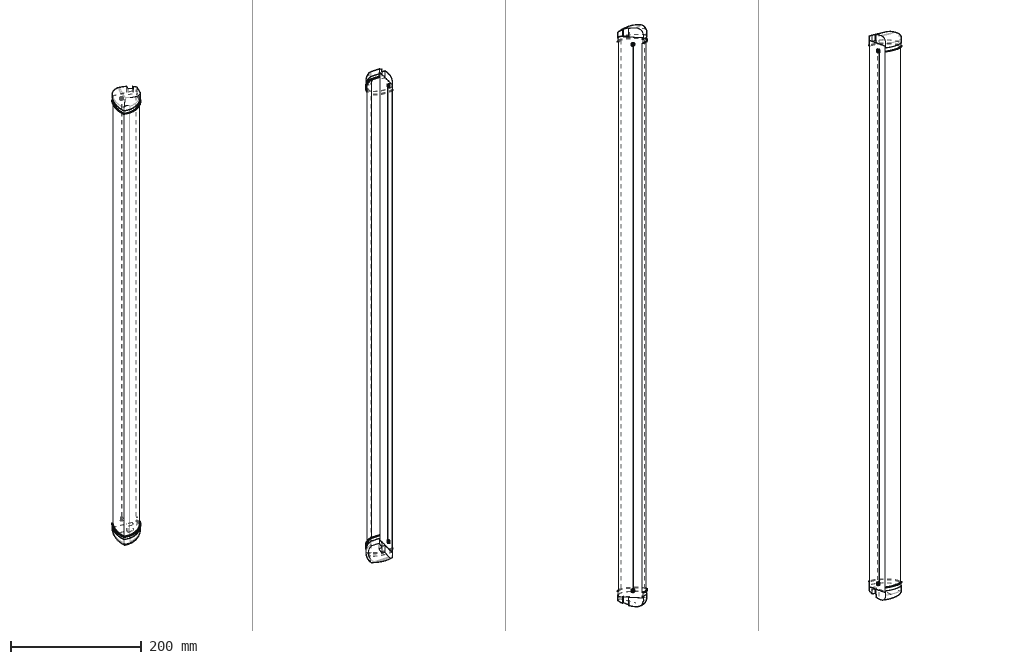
import cadquery as cq
import math

total_length = 901.79
total_width = 40.01
total_depth = 43.77
half_length = total_length / 2

flange_growth = 2.3
screw_head_height = 2.6
back_x = -total_width / 2 + screw_head_height
nose_x = total_width / 2 - flange_growth
side_y = total_depth / 2 - flange_growth
bow_center_x = -6.0
bow_sag = 1.5
nose_high_y = -4.0
front_end_x = -2.0
front_radius = 31.0

profile_end_depth = 14.4
band_top_depth = 17.1
flange_top_depth = 22.2
flange_height = 1.0
flange_bottom_depth = flange_top_depth + flange_height
cap_growth = 1.4
band_growth = 0.8
cap_back_step = 0.5

crown_end_y = -8.0
crown_drop = 8.0
crown_round = 10.5

notch_low_y = 4.0
notch_width = 9.5
notch_depth = 6.0

groove_y = -3.7
groove_width = 0.8
groove_depth = 0.6
groove_end_depth = 18.5
screw_depth = 25.3
screw_head_diameter = 6.0
screw_embed = 1.0
socket_diameter = 2.5
socket_depth = 1.5

margin = 10.0

bow_half_chord = bow_center_x - back_x
bow_radius = (bow_half_chord**2 + bow_sag**2) / (2 * bow_sag)
bow_center_y = bow_radius - side_y
nose_low_y = bow_center_y - math.sqrt(bow_radius**2 - (nose_x - bow_center_x) ** 2)

chord_x = front_end_x - nose_x
chord_y = side_y - nose_high_y
chord_length = math.hypot(chord_x, chord_y)
outward_x = chord_y / chord_length
outward_y = -chord_x / chord_length
center_setback = math.sqrt(front_radius**2 - (chord_length / 2) ** 2)
front_center_x = (nose_x + front_end_x) / 2 - center_setback * outward_x
front_center_y = (nose_high_y + side_y) / 2 - center_setback * outward_y
front_bend = (front_center_x + front_radius * outward_x, front_center_y + front_radius * outward_y)


def section_outline():
    """Closed outline of the profile in the XY plane."""
    return (
        cq.Workplane("XY")
        .moveTo(back_x, side_y)
        .lineTo(back_x, bow_sag - side_y)
        .threePointArc((bow_center_x, -side_y), (nose_x, nose_low_y))
        .lineTo(nose_x, nose_high_y)
        .threePointArc(front_bend, (front_end_x, side_y))
        .close()
    )


def block(x_min, x_max, y_min, y_max, z_min, z_max):
    """Axis-aligned box given by its limits."""
    size = (x_max - x_min, y_max - y_min, z_max - z_min)
    return cq.Workplane("XY").box(*size, centered=False).translate((x_min, y_min, z_min))


def grown_slab(growth, top_depth, bottom_depth, rear_x):
    """Slab of the outline grown outwards, cut off flat at rear_x."""
    slab = section_outline().offset2D(growth).extrude(bottom_depth - top_depth)
    slab = slab.translate((0, 0, half_length - bottom_depth))
    keep = block(rear_x, total_width, -total_depth, total_depth, 0, half_length)
    return slab.intersect(keep)


def crown_drop_cutter():
    """Solid above the arc along which the crown drops towards +Y."""
    run = side_y + cap_growth + margin - crown_end_y
    edge_run = side_y + cap_growth - crown_end_y
    arc_radius = (edge_run**2 + crown_drop**2) / (2 * crown_drop)
    half_angle = math.asin(run / arc_radius) / 2
    bend_y = crown_end_y + arc_radius * math.sin(half_angle)
    bend_z = half_length - arc_radius * (1 - math.cos(half_angle))
    end_z = half_length - arc_radius * (1 - math.cos(2 * half_angle))
    return (
        cq.Workplane("YZ")
        .moveTo(crown_end_y, half_length)
        .threePointArc((bend_y, bend_z), (crown_end_y + run, end_z))
        .lineTo(crown_end_y + run, half_length + margin)
        .lineTo(crown_end_y, half_length + margin)
        .close()
        .extrude(total_width, both=True)
    )


def rounded_disc(center_x, center_y, radius):
    """Disc about a vertical axis with its top rim rounded."""
    low_z = half_length - band_top_depth
    flat_radius = radius - crown_round
    bend_reach = crown_round * math.sqrt(0.5)
    return (
        cq.Workplane("XZ")
        .moveTo(0, low_z)
        .lineTo(radius, low_z)
        .lineTo(radius, half_length - crown_round)
        .threePointArc(
            (flat_radius + bend_reach, half_length - crown_round + bend_reach),
            (flat_radius, half_length),
        )
        .lineTo(0, half_length)
        .close()
        .revolve(360, (0, 0, 0), (0, 1, 0))
        .translate((center_x, center_y, 0))
    )


def crown():
    """Crown of the cap, rounded along its bowed side and along its swept front."""
    slab = grown_slab(cap_growth, 0, band_top_depth, back_x + cap_back_step)
    bow_round = rounded_disc(bow_center_x, bow_center_y, bow_radius + cap_growth)
    front_round = rounded_disc(front_center_x, front_center_y, front_radius + cap_growth)
    return slab.cut(crown_drop_cutter()).intersect(bow_round).intersect(front_round)


def end_cap():
    """Upper cap: notched crown, recessed band and flange."""
    notch = block(
        back_x - margin,
        back_x + notch_depth,
        notch_low_y,
        notch_low_y + notch_width,
        half_length - profile_end_depth,
        half_length + margin,
    )
    band = grown_slab(band_growth, band_top_depth, flange_top_depth, back_x)
    flange = grown_slab(flange_growth, flange_top_depth, flange_bottom_depth, back_x)
    return crown().cut(notch).union(band).union(flange)


def profile_bar():
    """Extruded bar with the shallow groove along its flat back."""
    bar_half = half_length - profile_end_depth
    groove_half = half_length - groove_end_depth
    bar = section_outline().extrude(2 * bar_half).translate((0, 0, -bar_half))
    groove = block(
        back_x - margin,
        back_x + groove_depth,
        groove_y - groove_width / 2,
        groove_y + groove_width / 2,
        -groove_half,
        groove_half,
    )
    return bar.cut(groove)


def screw():
    """Round screw head with a socket, on the flat back near the upper cap."""
    center = cq.Workplane("YZ").center(groove_y, half_length - screw_depth)
    head = center.circle(screw_head_diameter / 2).extrude(screw_head_height + screw_embed)
    socket = center.circle(socket_diameter / 2).extrude(socket_depth)
    return head.cut(socket).translate((-total_width / 2, 0, 0))


upper_end = end_cap().union(screw())
lower_end = upper_end.mirror("XY")
result = profile_bar().union(upper_end).union(lower_end)